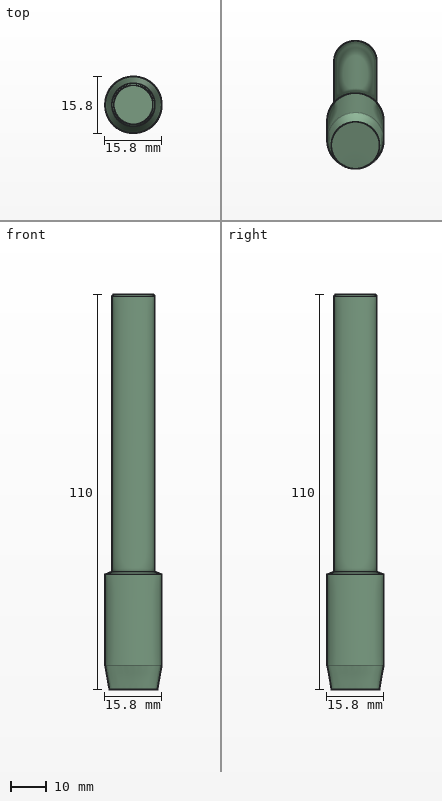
import cadquery as cq

total_length = 110.0

rod_diameter = 12.0
rod_chamfer = 0.5

head_diameter = 15.8
nose_length = 6.8
nose_end_diameter = 13.4
shoulder_height = 32.0
shoulder_rise = 0.8
head_length = shoulder_height + shoulder_rise


def make_rod():
    """Round rod standing on the head, chamfered at its upper end."""
    return (
        cq.Workplane("XY")
        .workplane(offset=head_length)
        .circle(rod_diameter / 2)
        .extrude(total_length - head_length)
        .faces(">Z")
        .chamfer(rod_chamfer)
    )


def make_head():
    """Turned head: tapered nose, straight barrel and a shallow cone narrowing to the rod."""
    return (
        cq.Workplane("XZ")
        .lineTo(nose_end_diameter / 2, 0)
        .lineTo(head_diameter / 2, nose_length)
        .lineTo(head_diameter / 2, shoulder_height)
        .lineTo(rod_diameter / 2, head_length)
        .lineTo(0, head_length)
        .close()
        .revolve(360, (0, 0, 0), (0, 1, 0))
    )


rod = make_rod()
head = make_head()

result = cq.Compound.makeCompound([rod.val(), head.val()])